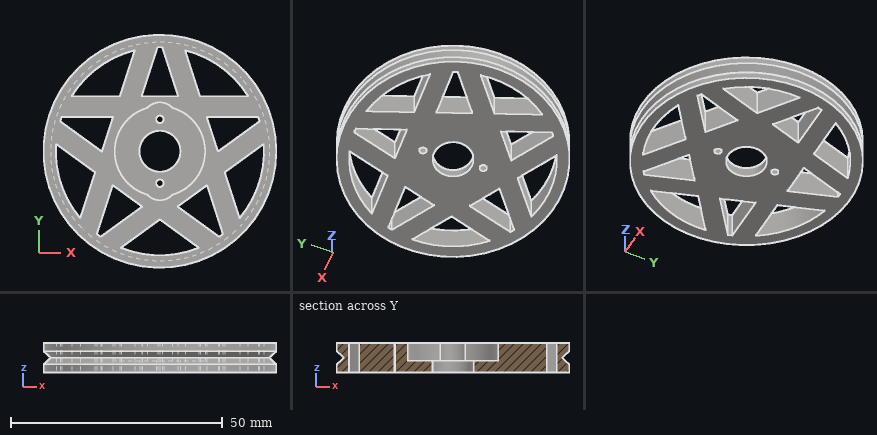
import cadquery as cq
import math

wheel_diameter = 55.0
wheel_height = 7.0
groove_width = 3.1
groove_depth = 1.65

rim_inner_radius = 24.55
bar_count = 5
bar_offset = 10.55
bar_width = 4.95

recess_radius = 10.65
recess_depth = 4.2
lobe_radius = 4.0
bore_diameter = 9.6
pin_diameter = 1.7
pin_offset = 7.55

wheel_radius = wheel_diameter / 2
mid_height = wheel_height / 2
recess_floor = wheel_height - recess_depth
pin_points = [(0, pin_offset), (0, -pin_offset)]


def make_grooved_disc():
    """Revolve the rim profile with its V groove about Z."""
    return (
        cq.Workplane("XZ")
        .moveTo(0, 0)
        .lineTo(wheel_radius, 0)
        .lineTo(wheel_radius, mid_height - groove_width / 2)
        .lineTo(wheel_radius - groove_depth, mid_height)
        .lineTo(wheel_radius, mid_height + groove_width / 2)
        .lineTo(wheel_radius, wheel_height)
        .lineTo(0, wheel_height)
        .close()
        .revolve(360, (0, 0, 0), (0, 1, 0))
    )


def make_star():
    """Five straight bars around a solid pentagon that carries the hub."""
    pentagon_diameter = 2 * bar_offset / math.cos(math.pi / bar_count)
    star = (
        cq.Workplane("XY")
        .polygon(bar_count, pentagon_diameter)
        .extrude(wheel_height)
        .rotate((0, 0, 0), (0, 0, 1), -90)
    )
    bar = (
        cq.Workplane("XY")
        .center(0, bar_offset)
        .rect(wheel_diameter, bar_width)
        .extrude(wheel_height)
    )
    for index in range(bar_count):
        star = star.union(bar.rotate((0, 0, 0), (0, 0, 1), index * 360 / bar_count))
    return star


def make_recess():
    """Round pocket with a lobe around each pin hole, open at the top."""
    floor = cq.Workplane("XY").workplane(offset=recess_floor)
    lobes = floor.pushPoints(pin_points).circle(lobe_radius).extrude(recess_depth)
    return floor.circle(recess_radius).extrude(recess_depth).union(lobes)


def make_through_holes():
    """Central bore and the two pin holes."""
    bore = cq.Workplane("XY").circle(bore_diameter / 2).extrude(wheel_height)
    pins = cq.Workplane("XY").pushPoints(pin_points).circle(pin_diameter / 2).extrude(wheel_height)
    return bore.union(pins)


windows = cq.Workplane("XY").circle(rim_inner_radius).extrude(wheel_height).cut(make_star())

result = make_grooved_disc().cut(windows).cut(make_recess()).cut(make_through_holes())